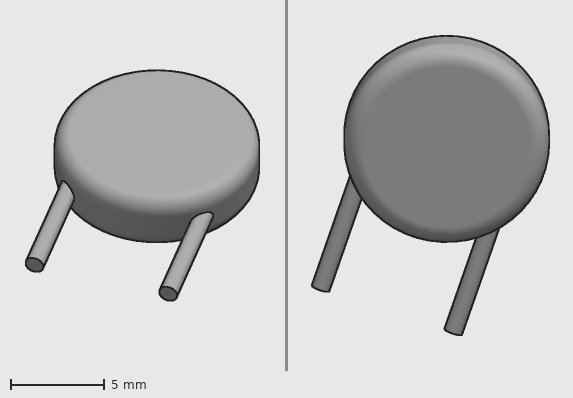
import cadquery as cq

total_length = 15.5
disc_diameter = 11.0
disc_thickness = 3.41
rim_radius = 1.0
lead_diameter = 1.0
lead_spacing = 7.5

disc_radius = disc_diameter / 2
lead_length = total_length - disc_radius


def make_disc():
    """Disc centred on the origin, with both rims rounded."""
    disc = cq.Workplane("XY").cylinder(disc_thickness, disc_radius)
    return disc.edges("%CIRCLE").fillet(rim_radius)


def make_lead(x):
    """Round lead running along -Y at mid thickness, starting inside the disc."""
    return cq.Workplane("XZ").center(x, 0).circle(lead_diameter / 2).extrude(lead_length)


result = make_disc()
for side in (-1, 1):
    result = result.union(make_lead(side * lead_spacing / 2))